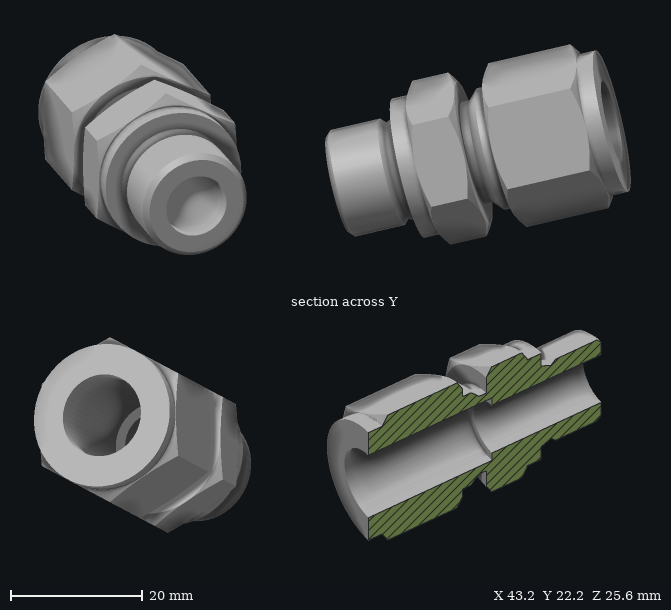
import cadquery as cq
import math

total_length = 43.2
across_flats = 22.2
across_corners = across_flats / math.cos(math.radians(30))
bevel_angle = 30.0

nut_collar_radius = 11.05
nut_hex_start = 2.55
nut_hex_end = 17.45

shoulder_radius = 9.5
shoulder_end = 19.05
neck_radius = 8.0
neck_start = 20.5

body_hex_start = 21.8
body_hex_end = 29.45
flange_radius = 10.9
flange_end = 32.1

relief_start_radius = 8.3
thread_start = 33.85
thread_radius = 8.35
thread_chamfer = 0.8
thread_root_radius = thread_radius - thread_chamfer

socket_radius = 6.35
socket_depth = 22.9
bore_radius = 4.85


def revolve_about_x(profile):
    """Solid of revolution about X from (x, radius) points."""
    return cq.Workplane("XY").polyline(profile).close().revolve(360, (0, 0, 0), (1, 0, 0))


def cylinder(start, end, radius):
    return cq.Workplane("YZ", origin=(start, 0, 0)).circle(radius).extrude(end - start)


def beveled_hexagon(start, end):
    """Hexagonal prism with corners on +Z and -Z, its corners beveled by a cone at each end."""
    prism = (
        cq.Workplane("YZ", origin=(start, 0, 0))
        .transformed(rotate=(0, 0, 90))
        .polygon(6, across_corners)
        .extrude(end - start)
    )
    face_radius = across_flats / 2
    corner_radius = across_corners / 2
    bevel_length = (corner_radius - face_radius) * math.tan(math.radians(bevel_angle))
    envelope = revolve_about_x([
        (start, 0),
        (start, face_radius),
        (start + bevel_length, corner_radius),
        (end - bevel_length, corner_radius),
        (end, face_radius),
        (end, 0),
    ])
    return prism.intersect(envelope)


core = revolve_about_x([
    (0, 0),
    (0, nut_collar_radius),
    (nut_hex_end, nut_collar_radius),
    (nut_hex_end, shoulder_radius),
    (shoulder_end, shoulder_radius),
    (neck_start, neck_radius),
    (body_hex_start, neck_radius),
    (body_hex_start, flange_radius),
    (flange_end, flange_radius),
    (flange_end, relief_start_radius),
    (thread_start, thread_root_radius),
    (thread_start + thread_chamfer, thread_radius),
    (total_length - thread_chamfer, thread_radius),
    (total_length, thread_root_radius),
    (total_length, 0),
])

nut_hexagon = beveled_hexagon(nut_hex_start, nut_hex_end)
body_hexagon = beveled_hexagon(body_hex_start, body_hex_end)

socket = cylinder(0, socket_depth, socket_radius)
bore = cylinder(0, total_length, bore_radius)

result = core.union(nut_hexagon).union(body_hexagon).cut(socket).cut(bore)